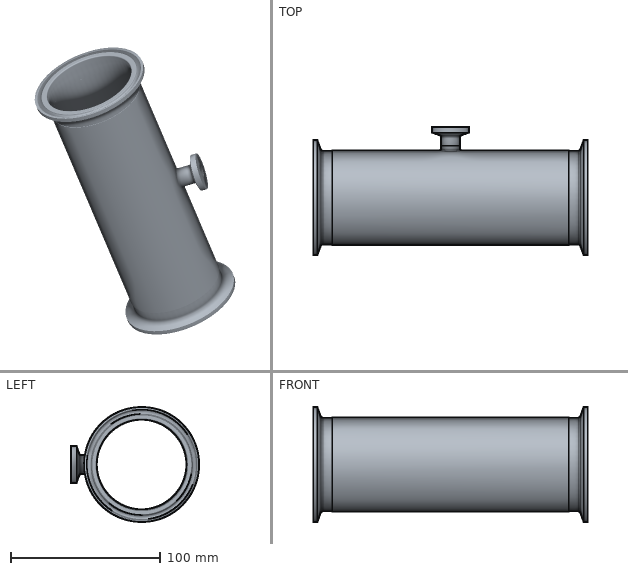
import cadquery as cq
import math

overall_length = 184.2
bore_radius = 30.0
cone_angle = 20.0

tube_radius = 31.9
collar_end_y = 34.8
collar_weld_radius = 1.0

ferrule_length = 12.9
ferrule_flange_radius = 38.7
ferrule_rim = 2.8
ferrule_neck_radius = 31.5
ferrule_neck_blend = 1.7
bore_mouth_round = 0.7
groove_mean_radius = 35.4
groove_radius = 1.5
groove_lip_round = 0.4

port_face_y = 47.5
port_flange_radius = 12.5
port_rim = 3.9
port_neck_radius = 6.5
port_neck_blend = 1.0
port_wall = 1.7

tube_length = overall_length - 2 * ferrule_length
port_length = port_face_y - collar_end_y
port_bore_radius = port_neck_radius - port_wall


def make_ferrule_blank(flange_radius, rim, neck_radius, length, hole_radius, neck_blend):
    """Revolved clamp ferrule about Z, sealing face at Z = 0 and neck toward +Z."""
    slope = math.radians(cone_angle)
    corner = rim + (flange_radius - neck_radius) * math.tan(slope)
    half_turn = (math.pi / 2 - slope) / 2
    tangent = neck_blend * math.tan(half_turn)
    blend_start = (neck_radius + tangent * math.cos(slope), corner - tangent * math.sin(slope))
    blend_end = (neck_radius, corner + tangent)
    blend_middle = (
        neck_radius + neck_blend * (1 - math.cos(half_turn)),
        corner + tangent - neck_blend * math.sin(half_turn),
    )
    return (
        cq.Workplane("XZ")
        .moveTo(hole_radius, 0)
        .lineTo(flange_radius, 0)
        .lineTo(flange_radius, rim)
        .lineTo(*blend_start)
        .threePointArc(blend_middle, blend_end)
        .lineTo(neck_radius, length)
        .lineTo(hole_radius, length)
        .close()
        .revolve(360, (0, 0, 0), (0, 1, 0))
    )


def make_end_ferrule():
    """Tube-end ferrule with a rounded bore mouth and a half-round gasket groove."""
    ferrule = make_ferrule_blank(
        ferrule_flange_radius,
        ferrule_rim,
        ferrule_neck_radius,
        ferrule_length,
        bore_radius,
        ferrule_neck_blend,
    )
    bore_mouth = cq.selectors.RadiusNthSelector(0)
    ferrule = ferrule.faces("<Z").edges(bore_mouth).fillet(bore_mouth_round)
    groove = cq.Solid.makeTorus(groove_mean_radius, groove_radius)
    ferrule = ferrule.cut(cq.Workplane(obj=groove))
    for lip_radius in (groove_mean_radius - groove_radius, groove_mean_radius + groove_radius):
        lips = ferrule.edges("%CIRCLE").filter(
            lambda edge: abs(edge.radius() - lip_radius) < groove_lip_round / 2
        )
        ferrule = lips.fillet(groove_lip_round)
    return ferrule


def make_tube():
    """Straight tube with a collar on +Y, blended in and bored through to the inside."""
    tube = cq.Workplane("YZ").circle(tube_radius).extrude(tube_length / 2, both=True)
    collar = cq.Workplane("XZ").circle(port_neck_radius).extrude(-collar_end_y)
    joint = cq.selectors.NearestToPointSelector((port_neck_radius, tube_radius, 0))
    body = tube.union(collar)
    body = body.edges("not %CIRCLE").edges("not %LINE").edges(joint).fillet(collar_weld_radius)
    bore = cq.Workplane("YZ").circle(bore_radius).extrude(tube_length / 2, both=True)
    port_bore = cq.Workplane("XZ").circle(port_bore_radius).extrude(-collar_end_y)
    return body.cut(bore).cut(port_bore)


def make_port_ferrule():
    """Small ferrule on the collar, its sealing face toward +Y."""
    ferrule = make_ferrule_blank(
        port_flange_radius,
        port_rim,
        port_neck_radius,
        port_length,
        port_bore_radius,
        port_neck_blend,
    )
    return ferrule.rotate((0, 0, 0), (1, 0, 0), 90).translate((0, port_face_y, 0))


tube = make_tube()
port_ferrule = make_port_ferrule()

end_ferrules = []
for side in (-1, 1):
    ferrule = make_end_ferrule().rotate((0, 0, 0), (0, 1, 0), -side * 90)
    end_ferrules.append(ferrule.translate((side * overall_length / 2, 0, 0)).val())

result = cq.Compound.makeCompound([tube.val(), *end_ferrules, port_ferrule.val()])